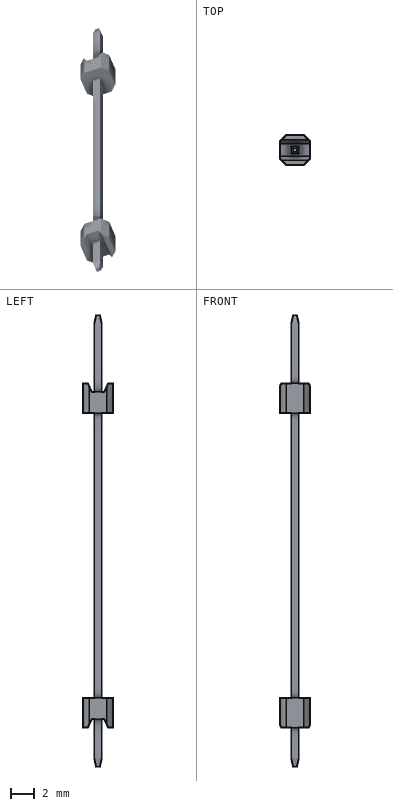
import cadquery as cq

PIN_LENGTH = 37.8
PIN_WIDTH = 0.65
TIP_LENGTH = 0.7
TIP_END_WIDTH = PIN_WIDTH / 2

BLOCK_WIDTH = 2.55
BLOCK_HEIGHT = 2.5
BLOCK_CORNER = 0.53
SLOT_MOUTH_WIDTH = 1.7
SLOT_FLOOR_WIDTH = 1.02
SLOT_DEPTH = 0.7

LOWER_BLOCK_FACE = 5.8
UPPER_BLOCK_FACE = 29.6


def make_tip():
    """Tapered square tip, rising from its wide end at Z = 0."""
    return (
        cq.Workplane("XY")
        .rect(PIN_WIDTH, PIN_WIDTH)
        .workplane(offset=TIP_LENGTH)
        .rect(TIP_END_WIDTH, TIP_END_WIDTH)
        .loft(ruled=True)
    )


def make_pin():
    """Square shaft with a tapered tip at each end."""
    shaft_length = PIN_LENGTH - 2 * TIP_LENGTH
    shaft = cq.Workplane("XY", origin=(0, 0, TIP_LENGTH)).rect(PIN_WIDTH, PIN_WIDTH).extrude(shaft_length)
    top_tip = make_tip().translate((0, 0, PIN_LENGTH - TIP_LENGTH))
    bottom_tip = make_tip().mirror("XY").translate((0, 0, TIP_LENGTH))
    return shaft.union(top_tip).union(bottom_tip)


def make_slot():
    """Flared slot along X that opens through the top of a block."""
    floor_z = BLOCK_HEIGHT - SLOT_DEPTH
    return (
        cq.Workplane("YZ")
        .moveTo(-SLOT_FLOOR_WIDTH / 2, floor_z)
        .lineTo(SLOT_FLOOR_WIDTH / 2, floor_z)
        .lineTo(SLOT_MOUTH_WIDTH / 2, BLOCK_HEIGHT)
        .lineTo(-SLOT_MOUTH_WIDTH / 2, BLOCK_HEIGHT)
        .close()
        .extrude(BLOCK_WIDTH / 2, both=True)
    )


def make_block():
    """Eight-sided block with its flat face at Z = 0 and its slot facing up."""
    body = (
        cq.Workplane("XY")
        .rect(BLOCK_WIDTH, BLOCK_WIDTH)
        .extrude(BLOCK_HEIGHT)
        .edges("|Z")
        .chamfer(BLOCK_CORNER)
    )
    pin_hole = cq.Workplane("XY").rect(PIN_WIDTH, PIN_WIDTH).extrude(BLOCK_HEIGHT)
    return body.cut(make_slot()).cut(pin_hole)


pin = make_pin()

blocks = []
for face_height, slot_faces_up in [(LOWER_BLOCK_FACE, False), (UPPER_BLOCK_FACE, True)]:
    block = make_block()
    if not slot_faces_up:
        block = block.mirror("XY")
    blocks.append(block.translate((0, 0, face_height)).val())

result = cq.Compound.makeCompound([pin.val(), *blocks])